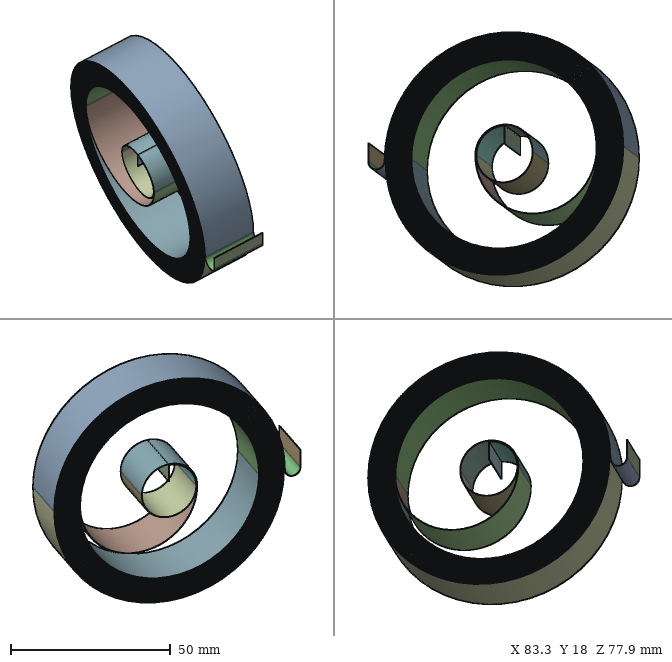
import cadquery as cq
import math

total_length = 83.3
coil_height = 77.9
strip_width = 18.0

pitch = 0.3
clearance = 0.01
strip = pitch - clearance
turns = 30

core_radius = 9.3
tab_length = 6.0
hook_leg = 6.0

coil_radius = (coil_height + pitch / 2 - strip) / 2
hook_x = total_length - coil_radius - strip
diagonal = math.sqrt(0.5)


def centre_crossings():
    """X of the strip's centre line at each crossing of the X axis, from core to hook.

    The strip is a chain of half circles that meet on the X axis: lower halves run from
    a right-hand crossing to a left-hand one, and upper halves run back to the right.
    """
    crossings = [core_radius - pitch, -core_radius, core_radius]
    for turns_outside in range(turns - 1, -1, -1):
        radius = coil_radius - turns_outside * pitch
        crossings += [-radius, radius]
    return crossings + [hook_x]


def face_crossings(offset):
    """Crossings of the strip face that lies `offset` outside the centre line."""
    return [x + offset * (-1) ** i for i, x in enumerate(centre_crossings())]


def half_circle(outline, start, end, side):
    """Half circle between two crossings, above (side 1) or below (side -1) the X axis."""
    middle = ((start + end) / 2, side * abs(end - start) / 2)
    return outline.threePointArc(middle, (end, 0))


def strip_profile():
    outer = face_crossings(strip / 2)
    inner = face_crossings(-strip / 2)
    last = len(outer) - 1

    ring_top = outer[0]
    tab_end = ring_top - tab_length
    outline = cq.Workplane("XZ").moveTo(0, tab_end).lineTo(-strip, tab_end)
    outline = outline.lineTo(-strip, ring_top).lineTo(0, ring_top)

    outline = outline.threePointArc((outer[0] * diagonal, outer[0] * diagonal), (outer[0], 0))
    for i in range(last):
        outline = half_circle(outline, outer[i], outer[i + 1], -((-1) ** i))

    outline = outline.lineTo(outer[last], hook_leg).lineTo(inner[last], hook_leg)
    outline = outline.lineTo(inner[last], 0)

    for i in range(last, 0, -1):
        outline = half_circle(outline, inner[i], inner[i - 1], (-1) ** i)
    outline = outline.threePointArc((inner[0] * diagonal, inner[0] * diagonal), (0, inner[0]))
    return outline.close()


result = strip_profile().extrude(strip_width / 2, both=True)